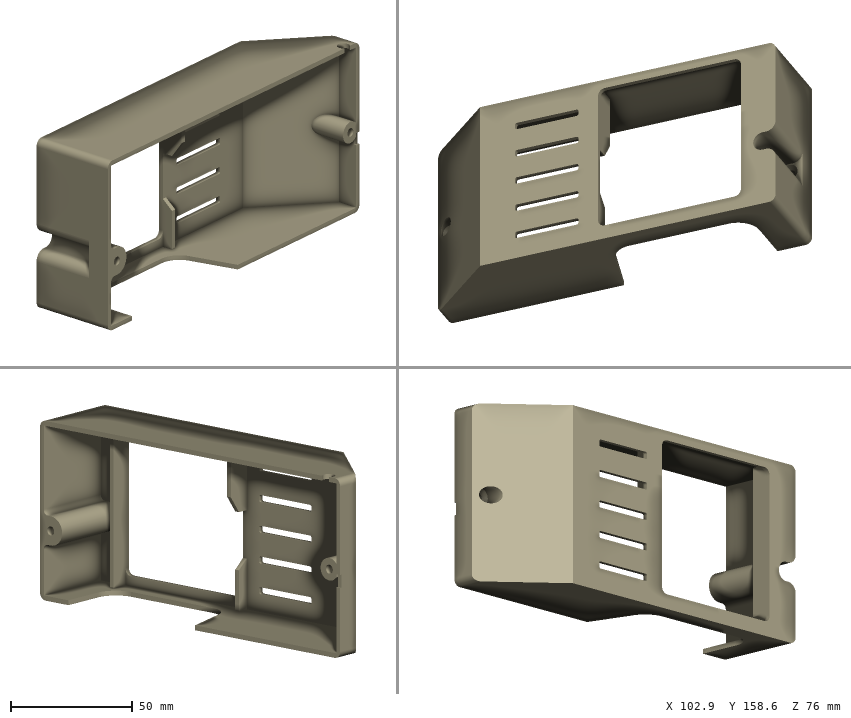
import cadquery as cq
import math

TURN_ANGLE = -57.7

LENGTH = 163.7
DEPTH = 37.9
HEIGHT = 76.0
WALL = 2.0
END_ROUND = 3.0
SLOPE_RUN = 31.1
SHORT_END_DEPTH = 10.0
OVERCUT = 8.0

WINDOW_X0 = 84.0
WINDOW_X1 = 148.1
WINDOW_Z0 = -31.7
WINDOW_Z1 = 34.0
WINDOW_ROUND = 3.0

RIB_DEEP = 12.0
RIB_SHALLOW = 7.0
RIB_STRAIGHT = 9.5
RIB_DEEP_Z = 13.2
RIB_GAP_TOP = 6.0
RIB_GAP_BOTTOM = -14.5
RIB_SHALLOW_Z = -18.5

SLOT_COUNT = 5
SLOT_PITCH = 13.0
SLOT_X0 = 46.8
SLOT_LENGTH = 28.4
SLOT_WIDTH = 3.0
SLOT_ROUND = 0.8
CENTRE_Z = -1.0

SCREW_HOLE_RADIUS = 1.9
SCREW_HEAD_RADIUS = 3.6
SEAT_DEPTH = 27.9
SLOPE_SCREW_X = 5.9
SLOPE_BOSS_RADIUS = 4.8
CHANNEL_X = 157.8
CHANNEL_Z = -8.1
CHANNEL_RADIUS = 4.1
CHANNEL_FLARE = 4.3

TOP_NOTCH_X = 8.0
TOP_NOTCH_RADIUS = 2.7
TOP_NOTCH_TO_BACK = 2.0
END_NOTCH_Z = -5.2
END_NOTCH_WIDTH = 5.5
END_NOTCH_DEPTH = 1.0

FLOOR_X0_FRONT = 86.6
FLOOR_X0_BACK = 79.1
FLOOR_ROUND = 9.5


def box(x0, x1, y0, y1, z0, z1):
    """Block between two opposite corners."""
    return cq.Workplane("XY").box(x1 - x0, y1 - y0, z1 - z0, centered=False).translate((x0, y0, z0))


def rod(x, z, radius, y0, y1):
    """Round rod along the depth direction."""
    return cq.Workplane(cq.Plane((x, y0, z), (1, 0, 0), (0, 1, 0))).circle(radius).extrude(y1 - y0)


def make_outer():
    profile = [
        (0, DEPTH),
        (0, DEPTH - SHORT_END_DEPTH),
        (SLOPE_RUN, 0),
        (LENGTH, 0),
        (LENGTH, DEPTH),
    ]
    solid = cq.Workplane("XY").polyline(profile).close().extrude(HEIGHT / 2, both=True)
    return solid.edges("|Y").fillet(END_ROUND)


def make_cavity():
    slope_rise = DEPTH - SHORT_END_DEPTH
    slope_length = math.hypot(SLOPE_RUN, slope_rise)
    slope = slope_rise / SLOPE_RUN
    inner_at_x0 = slope_rise + WALL * slope_length / SLOPE_RUN
    profile = [
        (WALL, DEPTH + OVERCUT),
        (WALL, inner_at_x0 - slope * WALL),
        ((inner_at_x0 - WALL) / slope, WALL),
        (LENGTH - WALL, WALL),
        (LENGTH - WALL, DEPTH + OVERCUT),
    ]
    return cq.Workplane("XY").polyline(profile).close().extrude(HEIGHT / 2 - WALL, both=True)


def make_ribs():
    z_limit = HEIGHT / 2 - WALL / 2
    stepped_profile = [
        (0, z_limit),
        (RIB_DEEP, z_limit),
        (RIB_DEEP, RIB_DEEP_Z),
        (RIB_SHALLOW, RIB_GAP_TOP),
        (WALL, RIB_GAP_TOP),
        (WALL, RIB_GAP_BOTTOM),
        (RIB_SHALLOW, RIB_SHALLOW_Z),
        (RIB_SHALLOW, -z_limit),
        (0, -z_limit),
    ]
    stepped = cq.Workplane("YZ").polyline(stepped_profile).close().extrude(WALL)
    stepped = stepped.translate((WINDOW_X0 - WALL, 0, 0))
    straight = box(WINDOW_X1, WINDOW_X1 + WALL, 0, RIB_STRAIGHT, -z_limit, z_limit)
    return stepped.union(straight)


def channel_solid(radius, flare, end_x, y0, y1):
    """U-shaped channel along the depth, open at end_x and flared there by convex rounds."""
    neck_x = end_x - flare
    mid_arc = flare * math.sqrt(0.5)
    flare_z = radius + flare
    shape = (
        cq.Workplane(cq.Plane((0, y0, 0), (1, 0, 0), (0, -1, 0)))
        .moveTo(end_x, CHANNEL_Z + flare_z)
        .threePointArc(
            (neck_x + mid_arc, CHANNEL_Z + flare_z - mid_arc),
            (neck_x, CHANNEL_Z + radius),
        )
        .lineTo(CHANNEL_X, CHANNEL_Z + radius)
        .threePointArc((CHANNEL_X - radius, CHANNEL_Z), (CHANNEL_X, CHANNEL_Z - radius))
        .lineTo(neck_x, CHANNEL_Z - radius)
        .threePointArc(
            (neck_x + mid_arc, CHANNEL_Z - flare_z + mid_arc),
            (end_x, CHANNEL_Z - flare_z),
        )
        .close()
    )
    return shape.extrude(y0 - y1)


def make_screw_hole(x, z):
    """Through hole with a 45 degree countersink at the seat."""
    cone_height = SCREW_HEAD_RADIUS - SCREW_HOLE_RADIUS
    cone = cq.Solid.makeCone(
        SCREW_HEAD_RADIUS, SCREW_HOLE_RADIUS, cone_height,
        pnt=cq.Vector(x, SEAT_DEPTH, z), dir=cq.Vector(0, 1, 0),
    )
    return rod(x, z, SCREW_HOLE_RADIUS, SEAT_DEPTH, DEPTH + OVERCUT).union(cq.Workplane(cone))


def make_window():
    window = box(WINDOW_X0, WINDOW_X1, -OVERCUT, WALL, WINDOW_Z0, WINDOW_Z1)
    return window.edges("|Y").fillet(WINDOW_ROUND)


def make_slots():
    slots = cq.Workplane("XY")
    for index in range(SLOT_COUNT):
        z = CENTRE_Z + (index - (SLOT_COUNT - 1) / 2) * SLOT_PITCH
        slot = box(
            SLOT_X0, SLOT_X0 + SLOT_LENGTH, -OVERCUT, WALL,
            z - SLOT_WIDTH / 2, z + SLOT_WIDTH / 2,
        )
        slots = slots.union(slot.edges("|Y").fillet(SLOT_ROUND))
    return slots


def make_floor_opening():
    outline = [
        (FLOOR_X0_BACK, DEPTH),
        (FLOOR_X0_FRONT, RIB_STRAIGHT),
        (WINDOW_X1, RIB_STRAIGHT),
        (WINDOW_X1, DEPTH),
    ]
    opening = cq.Workplane("XY").workplane(offset=-HEIGHT / 2).polyline(outline).close().extrude(WALL)
    return opening.edges("|Z and <Y").fillet(FLOOR_ROUND)


def make_notches():
    top = (
        cq.Workplane("XY").workplane(offset=HEIGHT / 2 - WALL)
        .center(TOP_NOTCH_X, DEPTH - TOP_NOTCH_TO_BACK).circle(TOP_NOTCH_RADIUS).extrude(WALL)
    )
    end = box(
        0, WALL, DEPTH - END_NOTCH_DEPTH, DEPTH,
        END_NOTCH_Z - END_NOTCH_WIDTH / 2, END_NOTCH_Z + END_NOTCH_WIDTH / 2,
    )
    return top.union(end)


outer = make_outer()
slope_boss = rod(SLOPE_SCREW_X, CENTRE_Z, SLOPE_BOSS_RADIUS, 0, DEPTH)
channel_boss = channel_solid(CHANNEL_RADIUS + WALL, CHANNEL_FLARE - WALL, LENGTH - WALL, 0, DEPTH)
slope_head_bore = rod(SLOPE_SCREW_X, CENTRE_Z, SCREW_HEAD_RADIUS, 0, SEAT_DEPTH)
channel = channel_solid(CHANNEL_RADIUS, CHANNEL_FLARE, LENGTH, 0, SEAT_DEPTH)

shell = (
    outer.cut(make_cavity())
    .union(make_ribs())
    .union(slope_boss.intersect(outer))
    .union(channel_boss)
    .cut(make_window())
    .cut(make_slots())
    .cut(make_floor_opening())
    .cut(make_notches())
    .cut(slope_head_bore)
    .cut(channel)
    .cut(make_screw_hole(SLOPE_SCREW_X, CENTRE_Z))
    .cut(make_screw_hole(CHANNEL_X, CHANNEL_Z))
)

result = shell.rotate((0, 0, 0), (0, 0, 1), TURN_ANGLE)